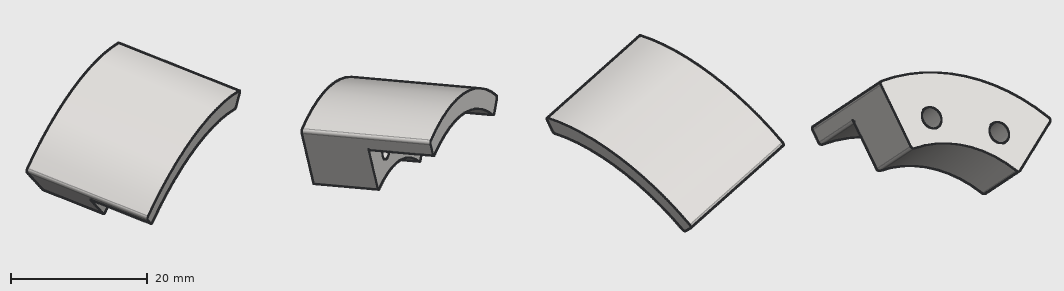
import cadquery as cq
import math

width = 28.63
length = 20.0
block_length = length / 2
half_angle = 30.0
corner_radius = 0.5
block_depth = 11.0
shell_depth = 3.0
hole_diameter = 3.3
hole_angle = half_angle / 2
hole_circle_radius = 22.0

sine = math.sin(math.radians(half_angle))
cosine = math.cos(math.radians(half_angle))
corner_tangent_length = (width / 2 - corner_radius * (1 - cosine)) / sine
outer_radius = corner_radius + math.hypot(corner_radius, corner_tangent_length)


def polar(radius, angle):
    """Point in the YZ plane, with the angle in degrees measured from +Z."""
    return (
        radius * math.sin(math.radians(angle)),
        radius * math.cos(math.radians(angle)),
    )


def ring_sector(depth, extent):
    """Ring sector about the X axis with its four lengthwise edges rounded."""
    inner_radius = outer_radius - depth
    return (
        cq.Workplane("YZ")
        .moveTo(*polar(outer_radius, -half_angle))
        .threePointArc((0, outer_radius), polar(outer_radius, half_angle))
        .lineTo(*polar(inner_radius, half_angle))
        .threePointArc((0, inner_radius), polar(inner_radius, -half_angle))
        .close()
        .extrude(extent)
        .edges("|X")
        .fillet(corner_radius)
    )


shell = ring_sector(shell_depth, length)
block = ring_sector(block_depth, block_length)

hole_centers = [polar(hole_circle_radius, side * hole_angle) for side in (-1, 1)]
holes = (
    cq.Workplane("YZ")
    .pushPoints(hole_centers)
    .circle(hole_diameter / 2)
    .extrude(block_length)
)

result = block.union(shell).cut(holes)